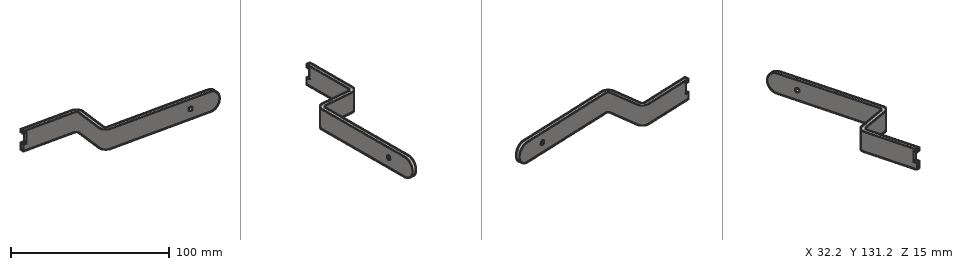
import cadquery as cq

overall_x = 32.25
overall_y = 131.25
strip_width = 15.0
thickness = 3.0

inner_radius = 2.0
outer_radius = inner_radius + thickness

short_leg_length = 39.5

hole_diameter = 3.0
hole_from_tip = 22.5

notch_depth = 2.5
notch_height = 8.0
notch_bottom = 5.0

cross_back_y = short_leg_length + outer_radius
cross_front_y = cross_back_y - thickness
long_leg_start_y = cross_front_y + outer_radius

long_leg_inner_x = overall_x - thickness


def bent_strip():
    """Z-shaped strip of constant thickness, extruded over its width."""
    return (
        cq.Workplane("XY")
        .lineTo(thickness, 0)
        .lineTo(thickness, short_leg_length)
        .radiusArc((thickness + inner_radius, cross_front_y), inner_radius)
        .lineTo(overall_x - outer_radius, cross_front_y)
        .radiusArc((overall_x, long_leg_start_y), -outer_radius)
        .lineTo(overall_x, overall_y)
        .lineTo(long_leg_inner_x, overall_y)
        .lineTo(long_leg_inner_x, long_leg_start_y)
        .radiusArc((long_leg_inner_x - inner_radius, cross_back_y), inner_radius)
        .lineTo(outer_radius, cross_back_y)
        .radiusArc((0, short_leg_length), -outer_radius)
        .close()
        .extrude(strip_width)
    )


def rounded_side_profile():
    """Side profile of the strip, ending in a half-circle at the tip of the long leg."""
    end_radius = strip_width / 2
    end_start_y = overall_y - end_radius
    return (
        cq.Workplane("YZ")
        .lineTo(end_start_y, 0)
        .threePointArc((overall_y, end_radius), (end_start_y, strip_width))
        .lineTo(0, strip_width)
        .close()
        .extrude(overall_x)
    )


def hole_cutter():
    """Cylinder along X through the long leg, on the strip's centre line."""
    return (
        cq.Workplane("YZ", origin=(long_leg_inner_x, 0, 0))
        .center(overall_y - hole_from_tip, strip_width / 2)
        .circle(hole_diameter / 2)
        .extrude(thickness)
    )


def notch_cutter():
    """Block that opens the notch through the full thickness of the short leg."""
    return cq.Workplane("XY", origin=(0, 0, notch_bottom)).box(
        thickness, notch_depth, notch_height, centered=False
    )


result = bent_strip().intersect(rounded_side_profile()).cut(hole_cutter()).cut(notch_cutter())